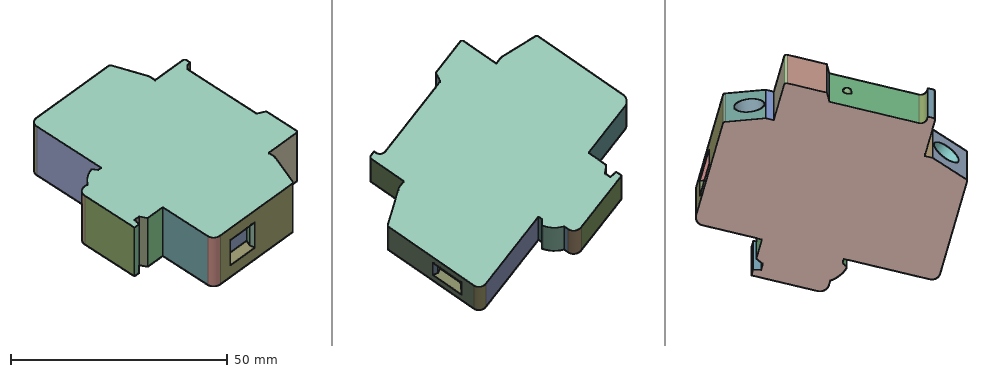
import cadquery as cq
import math

WIDTH = 58.4
HEIGHT = 49.7
THICKNESS = 15.4
HALF_WIDTH = WIDTH / 2

BODY_BOTTOM = 9.5
BODY_CORNER_RADIUS = 2.05
SHOULDER_TOP = 39.75
SLOPE_BOTTOM = 36.3
SLOPE_INNER_X = 20.0
EDGE_RADIUS = 0.6

HEAD_HALF_WIDTH = 18.05
RECESS_FLOOR = 47.6
RECESS_LEFT = -16.2
RECESS_RADIUS = 1.6
RECESS_RIGHT = 6.85
RECESS_RAMP_RUN = 1.1

LATCH_ROOT = (-6.65, 8.45)
LATCH_TIP = (-7.95, 7.65)
LATCH_BELLY = (-6.85, 5.15)
LATCH_END = (-5.1, 3.3)
LATCH_TIP_RADIUS = 0.3
FOOT_CORNER_RADIUS = 2.2
FOOT_RIGHT = 12.9
NOTCH_DEPTH = 1.8
NOTCH_TOP = 4.45
NOTCH_INNER_TOP = 3.5
NOTCH_INNER_BOTTOM = 1.9
NOTCH_BOTTOM = 1.6

HOLE_RADIUS = 3.5
HOLE_DEPTH = 5.85
HOLE_CENTRE_Y = 38.4

POCKET_BOTTOM = 15.0
POCKET_TOP = 23.3
POCKET_HEIGHT = 7.95
POCKET_FLOOR_BOTTOM = 16.65
POCKET_FLOOR_TOP = 22.4
POCKET_FLOOR_HEIGHT = 4.55
POCKET_DEPTH = 1.75
POCKET_BEND_DEPTH = 0.8

DOME_X = 2.55
DOME_RADIUS = 1.1
DOME_RISE = 0.9


def make_housing():
    """Extrude the outline and round its corners."""
    notch_x = FOOT_RIGHT - NOTCH_DEPTH
    housing = (
        cq.Workplane("XY", origin=(0, 0, -THICKNESS / 2))
        .moveTo(LATCH_END[0], 0)
        .lineTo(FOOT_RIGHT, 0)
        .lineTo(FOOT_RIGHT, NOTCH_BOTTOM)
        .lineTo(notch_x, NOTCH_INNER_BOTTOM)
        .lineTo(notch_x, NOTCH_INNER_TOP)
        .lineTo(FOOT_RIGHT, NOTCH_TOP)
        .lineTo(FOOT_RIGHT, BODY_BOTTOM)
        .lineTo(HALF_WIDTH, BODY_BOTTOM)
        .lineTo(HALF_WIDTH, SLOPE_BOTTOM)
        .lineTo(SLOPE_INNER_X, SHOULDER_TOP)
        .lineTo(HEAD_HALF_WIDTH, SHOULDER_TOP)
        .lineTo(HEAD_HALF_WIDTH, HEIGHT)
        .lineTo(RECESS_RIGHT + RECESS_RAMP_RUN, HEIGHT)
        .lineTo(RECESS_RIGHT, RECESS_FLOOR)
        .lineTo(RECESS_LEFT, RECESS_FLOOR)
        .lineTo(RECESS_LEFT, HEIGHT)
        .lineTo(-HEAD_HALF_WIDTH, HEIGHT)
        .lineTo(-HEAD_HALF_WIDTH, SHOULDER_TOP)
        .lineTo(-SLOPE_INNER_X, SHOULDER_TOP)
        .lineTo(-HALF_WIDTH, SLOPE_BOTTOM)
        .lineTo(-HALF_WIDTH, BODY_BOTTOM)
        .lineTo(LATCH_ROOT[0], BODY_BOTTOM)
        .lineTo(*LATCH_ROOT)
        .lineTo(*LATCH_TIP)
        .threePointArc(LATCH_BELLY, LATCH_END)
        .close()
        .extrude(THICKNESS)
    )
    rounded_corners = [
        (-HALF_WIDTH, BODY_BOTTOM, BODY_CORNER_RADIUS),
        (HALF_WIDTH, BODY_BOTTOM, BODY_CORNER_RADIUS),
        (-HALF_WIDTH, SLOPE_BOTTOM, EDGE_RADIUS),
        (HALF_WIDTH, SLOPE_BOTTOM, EDGE_RADIUS),
        (-HEAD_HALF_WIDTH, HEIGHT, EDGE_RADIUS),
        (HEAD_HALF_WIDTH, HEIGHT, EDGE_RADIUS),
        (RECESS_LEFT, RECESS_FLOOR, RECESS_RADIUS),
        (LATCH_END[0], 0, FOOT_CORNER_RADIUS),
        (*LATCH_TIP, LATCH_TIP_RADIUS),
    ]
    for x, y, radius in rounded_corners:
        corner = cq.selectors.NearestToPointSelector((x, y, 0))
        housing = housing.edges("|Z").edges(corner).fillet(radius)
    return housing


def make_slope_hole():
    """Return the cutter for the hole in the left slope."""
    run = HALF_WIDTH - SLOPE_INNER_X
    rise = SHOULDER_TOP - SLOPE_BOTTOM
    slope_length = math.hypot(run, rise)
    centre_x = -HALF_WIDTH + (HOLE_CENTRE_Y - SLOPE_BOTTOM) * run / rise
    inward = cq.Vector(rise / slope_length, -run / slope_length, 0)
    mouth = cq.Vector(centre_x, HOLE_CENTRE_Y, 0)
    return cq.Workplane(cq.Solid.makeCylinder(HOLE_RADIUS, HOLE_DEPTH, mouth, inward))


def pocket_stage(outer, inner):
    """Join two rectangles, each given as depth, lower Y, upper Y and height along Z."""
    outer_depth, outer_bottom, outer_top, outer_height = outer
    inner_depth, inner_bottom, inner_top, inner_height = inner
    outer_middle = (outer_bottom + outer_top) / 2
    inner_middle = (inner_bottom + inner_top) / 2
    return (
        cq.Workplane("YZ", origin=(-HALF_WIDTH + outer_depth, outer_middle, 0))
        .rect(outer_top - outer_bottom, outer_height)
        .workplane(offset=inner_depth - outer_depth)
        .center(inner_middle - outer_middle, 0)
        .rect(inner_top - inner_bottom, inner_height)
        .loft(ruled=True)
    )


def make_pocket():
    """Return the cutter for the left pocket; its upper wall tapers only as far as the bend."""
    bend_share = POCKET_BEND_DEPTH / POCKET_DEPTH
    bend_bottom = POCKET_BOTTOM + bend_share * (POCKET_FLOOR_BOTTOM - POCKET_BOTTOM)
    bend_height = POCKET_HEIGHT + bend_share * (POCKET_FLOOR_HEIGHT - POCKET_HEIGHT)
    mouth = (0, POCKET_BOTTOM, POCKET_TOP, POCKET_HEIGHT)
    bend = (POCKET_BEND_DEPTH, bend_bottom, POCKET_FLOOR_TOP, bend_height)
    floor = (POCKET_DEPTH, POCKET_FLOOR_BOTTOM, POCKET_FLOOR_TOP, POCKET_FLOOR_HEIGHT)
    return pocket_stage(mouth, bend).union(pocket_stage(bend, floor))


def make_dome():
    """Return a sphere whose cap stands proud of the recess floor."""
    centre_y = RECESS_FLOOR + DOME_RISE - DOME_RADIUS
    return cq.Workplane("XY", origin=(DOME_X, centre_y, 0)).sphere(DOME_RADIUS)


result = make_housing().union(make_dome())
for cutter in (make_slope_hole(), make_pocket()):
    result = result.cut(cutter).cut(cutter.mirror("YZ"))